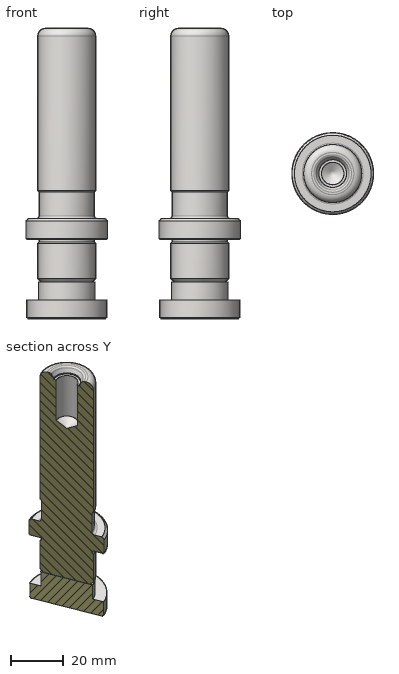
import cadquery as cq
import math

flange_radius = 15.2
flange_height = 7.2
flange_bottom_chamfer = 0.6
neck_radius = 10.75
cap_height = 14.0

pin_radius = 11.0
pin_top = 110.0
pin_top_round = 3.0
pin_foot_chamfer = 1.2

collar_radius = 15.5
collar_bottom = 30.0
collar_height = 8.0
collar_top = collar_bottom + collar_height
collar_top_chamfer = 1.0
collar_bottom_chamfer = 0.5

relief_radius = 10.5
lower_relief_height = 0.9
lower_relief_bottom = collar_bottom - lower_relief_height
relief_edge_chamfer = pin_radius - relief_radius
upper_relief_top = 48.5
collar_root_round = 1.0

mouth_radius = 7.1
mouth_round = 1.0
cone_half_angle = math.radians(30)
recess_radius = 5.25
recess_height = 0.5
drill_radius = 4.25
drill_depth = 22.0
drill_tip_half_angle = math.radians(59)


def make_cap():
    profile = (
        cq.Workplane("XZ")
        .lineTo(flange_radius - flange_bottom_chamfer, 0)
        .lineTo(flange_radius, flange_bottom_chamfer)
        .lineTo(flange_radius, flange_height)
        .lineTo(neck_radius, flange_height)
        .lineTo(neck_radius, cap_height)
        .lineTo(0, cap_height)
        .close()
    )
    return profile.revolve(360, (0, 0, 0), (0, 1, 0))


def make_pin_blank():
    """Solid pin with its collar, reliefs and edge treatments."""
    profile = (
        cq.Workplane("XZ")
        .moveTo(0, cap_height)
        .lineTo(pin_radius - pin_foot_chamfer, cap_height)
        .lineTo(pin_radius, cap_height + pin_foot_chamfer)
        .lineTo(pin_radius, lower_relief_bottom - relief_edge_chamfer)
        .lineTo(relief_radius, lower_relief_bottom)
        .lineTo(relief_radius, collar_bottom)
        .lineTo(collar_radius - collar_bottom_chamfer, collar_bottom)
        .lineTo(collar_radius, collar_bottom + collar_bottom_chamfer)
        .lineTo(collar_radius, collar_top - collar_top_chamfer)
        .lineTo(collar_radius - collar_top_chamfer, collar_top)
        .lineTo(relief_radius + collar_root_round, collar_top)
        .radiusArc((relief_radius, collar_top + collar_root_round), collar_root_round)
        .lineTo(relief_radius, upper_relief_top - relief_edge_chamfer)
        .lineTo(pin_radius, upper_relief_top)
        .lineTo(pin_radius, pin_top - pin_top_round)
        .radiusArc((pin_radius - pin_top_round, pin_top), -pin_top_round)
        .lineTo(0, pin_top)
        .close()
    )
    return profile.revolve(360, (0, 0, 0), (0, 1, 0))


def make_center_hole():
    """Rounded mouth, 60 degree cone, short recess and a drilled hole."""
    cone_start_radius = mouth_radius - mouth_round * math.cos(cone_half_angle)
    cone_start = pin_top - mouth_round * (1 - math.sin(cone_half_angle))
    cone_end = cone_start - (cone_start_radius - recess_radius) / math.tan(cone_half_angle)
    recess_bottom = cone_end - recess_height
    drill_bottom = pin_top - drill_depth
    drill_tip = drill_bottom - drill_radius / math.tan(drill_tip_half_angle)
    profile = (
        cq.Workplane("XZ")
        .moveTo(0, pin_top)
        .lineTo(mouth_radius, pin_top)
        .radiusArc((cone_start_radius, cone_start), -mouth_round)
        .lineTo(recess_radius, cone_end)
        .lineTo(recess_radius, recess_bottom)
        .lineTo(drill_radius, recess_bottom)
        .lineTo(drill_radius, drill_bottom)
        .lineTo(0, drill_tip)
        .close()
    )
    return profile.revolve(360, (0, 0, 0), (0, 1, 0))


cap = make_cap()
pin = make_pin_blank().cut(make_center_hole())

result = cq.Compound.makeCompound([cap.val(), pin.val()])